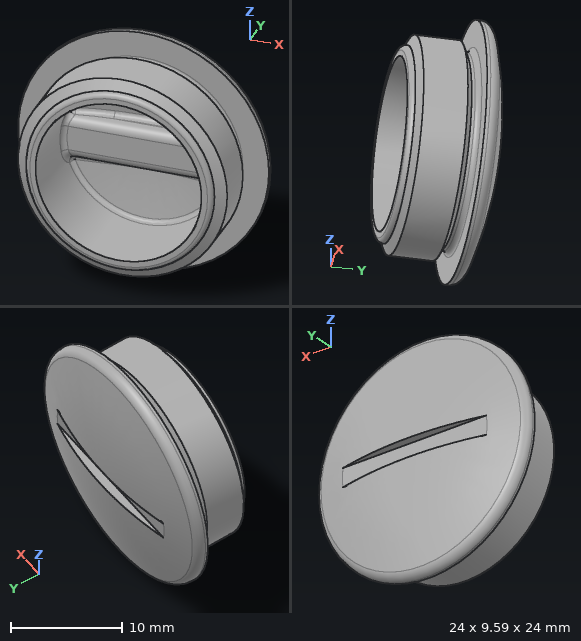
import cadquery as cq
import math


overall_length = 9.6
flange_radius = 12.0

edge_height = 0.3
rim_round = 1.0

body_length = 6.48
neck_radius = 9.0
bead_radius = 10.0
bead_start = 0.8
bead_end = 5.95
bead_chamfer_length = 0.55
root_fillet = 0.5
tip_fillet = 0.5

bore_mouth_radius = 7.95
bore_floor_radius = 7.73
cap_thickness = 1.5
cavity_fillet = 0.5

slot_width = 1.97
slot_floor = 2.15
rib_width = 4.42
rib_top = -0.17
rib_round = 1.0

dome_apex = overall_length - body_length
rim_center = (flange_radius - rim_round, edge_height)
offset_apex = dome_apex - rim_round
dome_center = (offset_apex**2 - rim_center[0] ** 2 - rim_center[1] ** 2) / (2 * (offset_apex - rim_center[1]))
dome_radius = dome_apex - dome_center
floor_radius = dome_radius - cap_thickness
rim_tangent_angle = math.degrees(math.atan2(rim_center[1] - dome_center, rim_center[0]))


def circle_point(center, radius, angle):
    """Point on a circle at an angle in degrees."""
    turn = math.radians(angle)
    return (center[0] + radius * math.cos(turn), center[1] + radius * math.sin(turn))


def sphere_point(radius, distance):
    """Profile point on a dome-concentric sphere at a distance from the axis."""
    return (distance, dome_center + math.sqrt(radius**2 - distance**2))


def revolve_about_axis(profile):
    return profile.close().revolve(360, (0, 0, 0), (0, 1, 0))


def make_outside():
    """Solid plug: domed flange, neck, chamfered bead and rounded tip."""
    rim_end = circle_point(rim_center, rim_round, rim_tangent_angle)
    root_center = (neck_radius + root_fillet, -root_fillet)
    tip_center = (neck_radius - tip_fillet, tip_fillet - body_length)
    profile = (
        cq.Workplane("XY")
        .moveTo(0, dome_apex)
        .threePointArc(sphere_point(dome_radius, rim_end[0] / 2), rim_end)
        .threePointArc(
            circle_point(rim_center, rim_round, rim_tangent_angle / 2),
            (flange_radius, edge_height),
        )
        .lineTo(flange_radius, 0)
        .lineTo(root_center[0], 0)
        .threePointArc(circle_point(root_center, root_fillet, 135), (neck_radius, root_center[1]))
        .lineTo(neck_radius, -bead_start)
        .lineTo(bead_radius, -bead_start - bead_chamfer_length)
        .lineTo(bead_radius, -bead_end + bead_chamfer_length)
        .lineTo(neck_radius, -bead_end)
        .lineTo(neck_radius, tip_center[1])
        .threePointArc(circle_point(tip_center, tip_fillet, -45), (tip_center[0], -body_length))
        .lineTo(0, -body_length)
    )
    return revolve_about_axis(profile)


def make_bore():
    """Tapered bore closed by the domed floor."""
    profile = (
        cq.Workplane("XY")
        .moveTo(0, -body_length)
        .lineTo(bore_mouth_radius, -body_length)
        .lineTo(*sphere_point(floor_radius, bore_floor_radius))
        .threePointArc(
            sphere_point(floor_radius, bore_floor_radius / 2),
            sphere_point(floor_radius, 0),
        )
    )
    return revolve_about_axis(profile)


def make_rib():
    """Bar across the cavity with its two long edges rounded."""
    return (
        cq.Workplane("XY")
        .box(2 * flange_radius, dome_apex - rib_top, rib_width)
        .translate((0, (dome_apex + rib_top) / 2, 0))
        .edges("|X and <Y")
        .fillet(rib_round)
    )


def make_cavity():
    """Bore less the rib; every edge beyond the mouth is a filleted inside corner."""
    cavity = make_bore().cut(make_rib())
    inner_edges = cq.selectors.BoxSelector(
        (-flange_radius, rib_top - cavity_fillet, -flange_radius),
        (flange_radius, dome_apex, flange_radius),
    )
    return cavity.edges(inner_edges).fillet(cavity_fillet)


def make_slot():
    """Coin slot running across the whole dome along X."""
    depth = dome_apex - slot_floor
    return (
        cq.Workplane("XY")
        .box(2 * flange_radius, depth, slot_width)
        .translate((0, slot_floor + depth / 2, 0))
    )


result = make_outside().cut(make_cavity()).cut(make_slot())